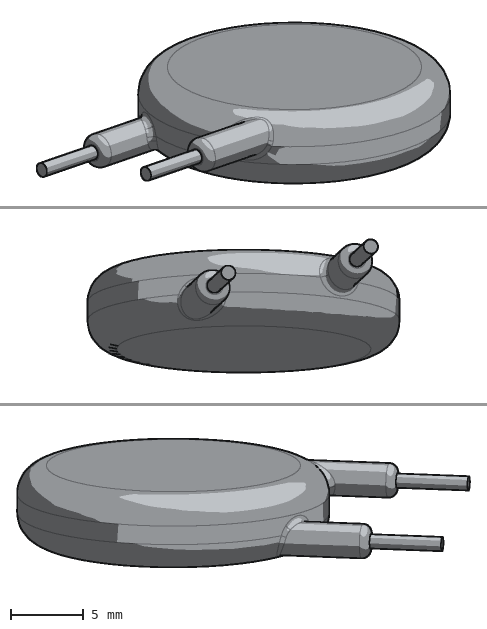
import cadquery as cq

disc_diameter = 21.5
disc_thickness = 5.3
disc_edge_radius = 2.0

lead_pitch = 10.0
lead_height_step = 2.2
sleeve_diameter = 2.4
sleeve_tip_radius = 0.6
sleeve_root_radius = 0.4
wire_diameter = 1.0
wire_exposed_length = 5.0
overall_length = 30.5

disc_radius = disc_diameter / 2
wire_end_y = disc_radius - overall_length
sleeve_end_y = wire_end_y + wire_exposed_length
lead_start_y = -disc_radius / 2

lead_positions = [
    (-lead_pitch / 2, -lead_height_step / 2),
    (lead_pitch / 2, lead_height_step / 2),
]


def make_disc():
    """Flat disc with both rims rounded."""
    disc = cq.Workplane("XY").circle(disc_radius).extrude(disc_thickness / 2, both=True)
    return disc.faces("|Z").edges().fillet(disc_edge_radius)


def rod(x, z, diameter, end_y):
    """Round rod along Y, from inside the disc out to end_y."""
    plane = cq.Workplane("XZ", origin=(x, lead_start_y, z))
    return plane.circle(diameter / 2).extrude(lead_start_y - end_y)


def add_sleeve(body, x, z):
    """Join a round-tipped sleeve to the disc and blend its root into the rim."""
    sleeve = rod(x, z, sleeve_diameter, sleeve_end_y).faces("<Y").edges().fillet(sleeve_tip_radius)
    joined = body.union(sleeve)
    reach = sleeve_diameter / 2 + sleeve_root_radius
    root_box = cq.selectors.BoxSelector(
        (x - reach, -disc_radius, z - reach),
        (x + reach, lead_start_y, z + reach),
        boundingbox=True,
    )
    return joined.edges(root_box).fillet(sleeve_root_radius)


def make_part():
    body = make_disc()
    for x, z in lead_positions:
        body = add_sleeve(body, x, z)
    for x, z in lead_positions:
        body = body.union(rod(x, z, wire_diameter, wire_end_y))
    return body


result = make_part()